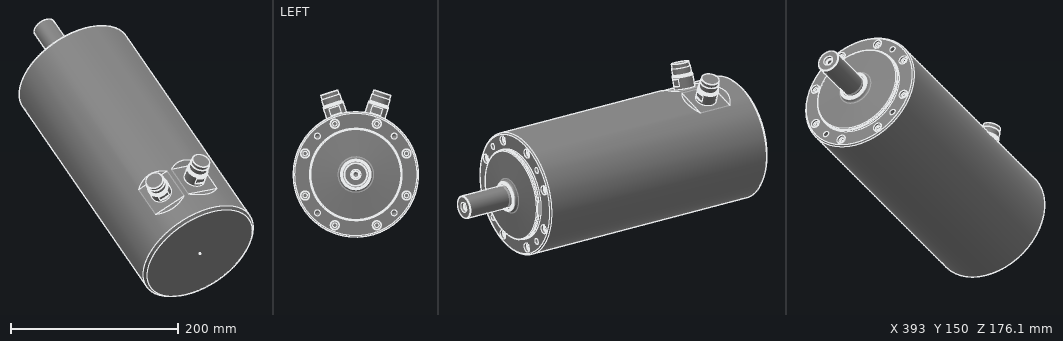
import cadquery as cq
import math

total_length = 393.0
body_dia = 150.0
body_radius = body_dia / 2
flange_face = 74.3
bump_length = 1.0
bump_dia = 2.0
rear_face = total_length - bump_length
front_chamfer = 2.0
rear_chamfer = 3.5

pilot_dia = 110.0
pilot_root_dia = 111.0
pilot_step = 71.5
pilot_front = 68.5
pilot_chamfer = 1.0
cone_tip = 65.2

collar_foot_dia = 42.5
collar_rear_dia = 36.5
collar_front_dia = 35.0
collar_bore_dia = 32.0
collar_front = 59.5
collar_step = 61.0
collar_fillet_start = 62.0
collar_bore_depth = 2.0
collar_chamfer = 0.5

shaft_dia = 28.0
shaft_neck_dia = 27.5
shaft_neck_start = 57.0
shaft_neck_taper = 1.0
shaft_chamfer = 0.8
centre_hole_dia = 7.0
centre_hole_depth = 19.5
centre_relief_dia = 9.0
centre_relief_depth = 4.0
centre_sink_dia = 12.0
centre_sink_angle = 60.0

bolt_circle_dia = 131.3
screw_count = 8
counterbore_dia = 11.0
counterbore_depth = 9.0
head_dia = 10.0
head_recess = 3.0
socket_width = 5.0
socket_depth = 3.0
dowel_circle_dia = 129.5
dowel_count = 4
dowel_dia = 7.0
dowel_depth = 10.0
drill_point_angle = 118.0

seat_centre_x = 336.8
seat_length = 43.0
seat_top_length = 58.5
seat_width = 41.0
seat_tilt = 18.0
seat_height = math.sqrt(body_radius**2 - (seat_width / 2) ** 2)

connector_top = 103.0
connector_dia = 25.0
groove_bottom = 86.5
groove_top = 87.2
groove_dia = 22.8
shoulder_height = 88.5
neck_dia = 21.5
neck_top = 89.5
barrel_dia = 23.0
cap_height = 97.5
cap_dia = 21.5
cap_chamfer = 0.5
wrench_flat_width = 21.5
wrench_flat_bottom = 76.0
wrench_flat_top = 84.5


def bore(outline):
    """Tool for a blind hole along +X, turned from (depth, radius) points and ended by a drill point."""
    depth, radius = outline[-1]
    point = radius / math.tan(math.radians(drill_point_angle / 2))
    closed_outline = [(0, 0), *outline, (depth + point, 0)]
    return cq.Workplane("XY").polyline(closed_outline).close().revolve(360, (0, 0, 0), (1, 0, 0))


def centre_hole():
    """Shaft centre hole: countersunk mouth, short relief bore, then the deep hole."""
    sink_depth = (centre_sink_dia - centre_relief_dia) / 2 / math.tan(math.radians(centre_sink_angle / 2))
    return bore(
        [
            (0, centre_sink_dia / 2),
            (sink_depth, centre_relief_dia / 2),
            (centre_relief_depth, centre_relief_dia / 2),
            (centre_relief_depth, centre_hole_dia / 2),
            (centre_hole_depth, centre_hole_dia / 2),
        ]
    )


def screw_recess():
    """Tool for a counterbore that leaves a recessed screw head with a hexagon socket."""
    counterbore = cq.Workplane("YZ").circle(counterbore_dia / 2).extrude(counterbore_depth)
    head = (
        cq.Workplane("YZ", origin=(head_recess, 0, 0))
        .circle(head_dia / 2)
        .extrude(counterbore_depth - head_recess)
    )
    socket = (
        cq.Workplane("YZ", origin=(head_recess, 0, 0))
        .polygon(6, socket_width, circumscribed=True)
        .extrude(socket_depth)
    )
    return counterbore.cut(head).union(socket)


def around_axis(shape, count, start_angle, radius):
    """Copies of a shape spaced evenly on a circle around the X axis, as a list."""
    raised = shape.translate((0, 0, radius))
    return [
        raised.rotate((0, 0, 0), (1, 0, 0), start_angle + i * 360 / count) for i in range(count)
    ]


def motor_blank():
    """Shaft, collar, cone, pilot and cylindrical body turned as one piece."""
    return (
        cq.Workplane("XY")
        .moveTo(0, 0)
        .lineTo(0, shaft_dia / 2 - shaft_chamfer)
        .lineTo(shaft_chamfer, shaft_dia / 2)
        .lineTo(shaft_neck_start, shaft_dia / 2)
        .lineTo(shaft_neck_start + shaft_neck_taper, shaft_neck_dia / 2)
        .lineTo(collar_front + collar_bore_depth, shaft_neck_dia / 2)
        .lineTo(collar_front + collar_bore_depth, collar_bore_dia / 2)
        .lineTo(collar_front, collar_bore_dia / 2)
        .lineTo(collar_front, collar_front_dia / 2 - collar_chamfer)
        .lineTo(collar_front + collar_chamfer, collar_front_dia / 2)
        .lineTo(collar_step, collar_front_dia / 2)
        .lineTo(collar_step, collar_rear_dia / 2)
        .lineTo(collar_fillet_start, collar_rear_dia / 2)
        .tangentArcPoint((cone_tip, collar_foot_dia / 2), relative=False)
        .lineTo(pilot_front, pilot_dia / 2 - pilot_chamfer)
        .lineTo(pilot_front + pilot_chamfer, pilot_dia / 2)
        .lineTo(pilot_step, pilot_dia / 2)
        .lineTo(pilot_step, pilot_root_dia / 2)
        .lineTo(flange_face, pilot_root_dia / 2)
        .lineTo(flange_face, body_radius - front_chamfer)
        .lineTo(flange_face + front_chamfer, body_radius)
        .lineTo(rear_face - rear_chamfer, body_radius)
        .lineTo(rear_face, body_radius - rear_chamfer)
        .lineTo(rear_face, bump_dia / 2)
        .lineTo(total_length, bump_dia / 2)
        .lineTo(total_length, 0)
        .close()
        .revolve(360, (0, 0, 0), (1, 0, 0))
    )


def seat_cutter():
    """Flat-bottomed cutter with sloping ends, upright above the axis."""
    return (
        cq.Workplane("XZ")
        .moveTo(seat_centre_x - seat_length / 2, seat_height)
        .lineTo(seat_centre_x - seat_top_length / 2, body_radius)
        .lineTo(seat_centre_x - seat_top_length / 2, body_dia)
        .lineTo(seat_centre_x + seat_top_length / 2, body_dia)
        .lineTo(seat_centre_x + seat_top_length / 2, body_radius)
        .lineTo(seat_centre_x + seat_length / 2, seat_height)
        .close()
        .extrude(seat_width, both=True)
    )


def make_motor():
    motor = motor_blank()
    motor = motor.cut(centre_hole())
    recess = screw_recess().translate((flange_face, 0, 0))
    for hole in around_axis(recess, screw_count, 180 / screw_count, bolt_circle_dia / 2):
        motor = motor.cut(hole)
    dowel_hole = bore([(0, dowel_dia / 2), (dowel_depth, dowel_dia / 2)]).translate((flange_face, 0, 0))
    for hole in around_axis(dowel_hole, dowel_count, 180 / dowel_count, dowel_circle_dia / 2):
        motor = motor.cut(hole)
    for tilt in (-seat_tilt, seat_tilt):
        motor = motor.cut(seat_cutter().rotate((0, 0, 0), (1, 0, 0), tilt))
    return motor


def make_connector(tilt):
    """Stepped round plug with two wrench flats, standing on its seat."""
    plug = (
        cq.Workplane("XZ")
        .moveTo(0, seat_height)
        .lineTo(connector_dia / 2, seat_height)
        .lineTo(connector_dia / 2, groove_bottom)
        .lineTo(groove_dia / 2, groove_bottom)
        .lineTo(groove_dia / 2, groove_top)
        .lineTo(connector_dia / 2, groove_top)
        .lineTo(connector_dia / 2, shoulder_height)
        .lineTo(neck_dia / 2, shoulder_height)
        .lineTo(neck_dia / 2, neck_top)
        .lineTo(barrel_dia / 2, neck_top)
        .lineTo(barrel_dia / 2, cap_height)
        .lineTo(cap_dia / 2, cap_height)
        .lineTo(cap_dia / 2, connector_top - cap_chamfer)
        .lineTo(cap_dia / 2 - cap_chamfer, connector_top)
        .lineTo(0, connector_top)
        .close()
        .revolve(360, (0, 0, 0), (0, 1, 0))
    )
    for side in (-1, 1):
        flat_cutter = cq.Workplane("XY").box(
            connector_dia, connector_dia, wrench_flat_top - wrench_flat_bottom
        )
        offset = side * (wrench_flat_width + connector_dia) / 2
        plug = plug.cut(flat_cutter.translate((offset, 0, (wrench_flat_top + wrench_flat_bottom) / 2)))
    return plug.translate((seat_centre_x, 0, 0)).rotate((0, 0, 0), (1, 0, 0), tilt)


motor = make_motor()
connectors = [make_connector(tilt) for tilt in (-seat_tilt, seat_tilt)]
result = cq.Compound.makeCompound([motor.val(), *[connector.val() for connector in connectors]])